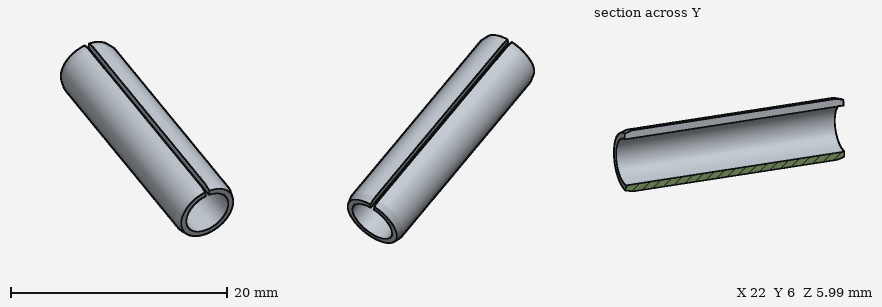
import cadquery as cq
import math

length = 22.0
outer_radius = 3.0
bore_radius = 2.25
taper_length = 0.7
taper_depth = 0.2
slit_angle = 9.0


def tapered_tube():
    """Tube with both outer ends tapered, revolved about the X axis."""
    half_length = length / 2
    body_half_length = half_length - taper_length
    end_radius = outer_radius - taper_depth
    profile = [
        (-half_length, bore_radius),
        (-half_length, end_radius),
        (-body_half_length, outer_radius),
        (body_half_length, outer_radius),
        (half_length, end_radius),
        (half_length, bore_radius),
    ]
    return cq.Workplane("XY").polyline(profile).close().revolve(360, (0, 0, 0), (1, 0, 0))


def slit_wedge():
    """Wedge with its edge on the pin axis, opening upward past the outer wall."""
    wedge_height = 2 * outer_radius
    half_width = wedge_height * math.tan(math.radians(slit_angle / 2))
    section = [(0, 0), (half_width, wedge_height), (-half_width, wedge_height)]
    return cq.Workplane("YZ").polyline(section).close().extrude(length, both=True)


result = tapered_tube().cut(slit_wedge())